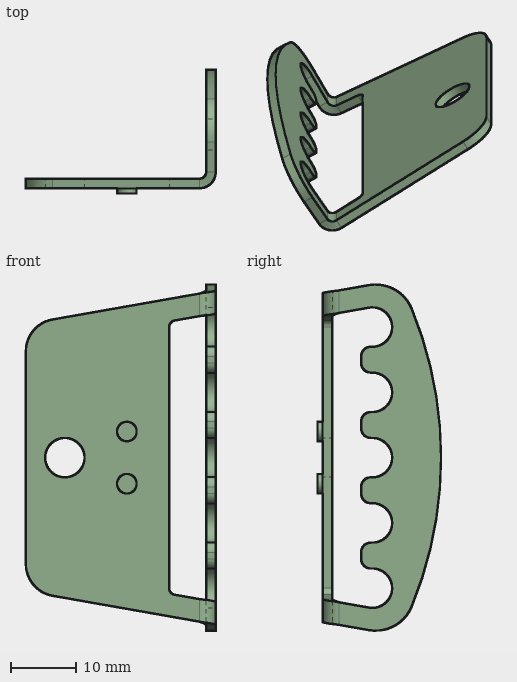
import cadquery as cq
import math

LENGTH_X = 29.13
HEIGHT_Z = 53.06
OVERALL_Y = 18.98
THICKNESS = 1.5
TAPER = math.radians(10)

INNER_BEND_RADIUS = 1.0
OUTER_BEND_RADIUS = INNER_BEND_RADIUS + THICKNESS
NEUTRAL_BEND_RADIUS = INNER_BEND_RADIUS + THICKNESS / 2
BEND_X = LENGTH_X - OUTER_BEND_RADIUS
BEND_Y = OUTER_BEND_RADIUS
BEND_RISE = NEUTRAL_BEND_RADIUS * math.pi / 2 * math.tan(TAPER)

PLATE_CORNER_RADIUS = 5.0
WINDOW_X = 22.0
WINDOW_CORNER_RADIUS = 1.0
HOLE_DIAMETER = 6.0
HOLE_X = 6.0
PIN_DIAMETER = 3.0
PIN_HEIGHT = 0.8
PIN_X = 15.5
PIN_PITCH = 8.0

CROWN_Y = OVERALL_Y - PIN_HEIGHT
CROWN_RADIUS = 60.0
FLANGE_CORNER_RADIUS = 6.0
NOTCH_RADIUS = 3.0
NOTCH_Y = 7.65
NOTCH_PITCH = 10.0
NOTCH_COUNT = 5
TOOTH_TIP_Y = 5.9
TOOTH_TIP_RADIUS = 1.5

CROWN_CENTER_Y = CROWN_Y - CROWN_RADIUS
CORNER_Z = HEIGHT_Z / 2 - FLANGE_CORNER_RADIUS
CORNER_Y = CROWN_CENTER_Y + math.sqrt((CROWN_RADIUS - FLANGE_CORNER_RADIUS) ** 2 - CORNER_Z**2)
LAST_NOTCH_Z = NOTCH_PITCH * (NOTCH_COUNT - 1) / 2


def taper_height_at_bend(center_y, center_z, radius):
    """Height, where the flange meets the bend, of the tapered line touching an arc."""
    return center_z + radius / math.cos(TAPER) - (center_y - BEND_Y) * math.tan(TAPER)


FLANGE_OUTER_Z = taper_height_at_bend(CORNER_Y, CORNER_Z, FLANGE_CORNER_RADIUS)
FLANGE_INNER_Z = taper_height_at_bend(NOTCH_Y, LAST_NOTCH_Z, NOTCH_RADIUS)
PLATE_OUTER_Z = FLANGE_OUTER_Z - BEND_RISE
PLATE_INNER_Z = FLANGE_INNER_Z - BEND_RISE


def point_on_arc(center_y, center_z, radius, angle):
    return (center_y + radius * math.cos(angle), center_z + radius * math.sin(angle))


def mirrored(point):
    return (point[0], -point[1])


def symmetric_trapezoid(start_x, half_height_at_bend):
    """Plate-thick trapezoid from start_x to the bend, tapering away from it."""
    start_z = half_height_at_bend - (BEND_X - start_x) * math.tan(TAPER)
    corners = [
        (start_x, -start_z),
        (BEND_X, -half_height_at_bend),
        (BEND_X, half_height_at_bend),
        (start_x, start_z),
    ]
    return cq.Workplane("XZ").polyline(corners).close().extrude(-THICKNESS)


def make_plate():
    plate = symmetric_trapezoid(0, PLATE_OUTER_Z).edges("|Y and <X").fillet(PLATE_CORNER_RADIUS)
    window = symmetric_trapezoid(WINDOW_X, PLATE_INNER_Z).edges("|Y and <X").fillet(WINDOW_CORNER_RADIUS)
    hole = cq.Workplane("XZ").center(HOLE_X, 0).circle(HOLE_DIAMETER / 2).extrude(-THICKNESS)
    return plate.cut(window).cut(hole)


def make_pins():
    return (
        cq.Workplane("XZ", origin=(0, THICKNESS / 2, 0))
        .pushPoints([(PIN_X, -PIN_PITCH / 2), (PIN_X, PIN_PITCH / 2)])
        .circle(PIN_DIAMETER / 2)
        .extrude(PIN_HEIGHT + THICKNESS / 2)
    )


def flange_plane():
    return cq.Workplane("YZ", origin=(LENGTH_X - THICKNESS, 0, 0))


def make_flange_blank():
    crown_angle = math.atan2(CORNER_Z, CORNER_Y - CROWN_CENTER_Y)
    taper_angle = math.pi / 2 + TAPER
    corner = (CORNER_Y, CORNER_Z, FLANGE_CORNER_RADIUS)
    taper_end = point_on_arc(*corner, taper_angle)
    corner_middle = point_on_arc(*corner, (taper_angle + crown_angle) / 2)
    crown_end = point_on_arc(*corner, crown_angle)
    return (
        flange_plane()
        .moveTo(BEND_Y, FLANGE_OUTER_Z)
        .lineTo(*taper_end)
        .threePointArc(corner_middle, crown_end)
        .threePointArc((CROWN_Y, 0), mirrored(crown_end))
        .threePointArc(mirrored(corner_middle), mirrored(taper_end))
        .lineTo(BEND_Y, -FLANGE_OUTER_Z)
        .close()
        .extrude(THICKNESS)
    )


def make_flange_opening():
    """Space between the arms, including the round notches between the teeth."""
    touch = point_on_arc(NOTCH_Y, LAST_NOTCH_Z, NOTCH_RADIUS, math.pi / 2 + TAPER)
    outline = flange_plane().moveTo(BEND_Y, FLANGE_INNER_Z).lineTo(*touch)
    for index in range(NOTCH_COUNT):
        notch_z = LAST_NOTCH_Z - index * NOTCH_PITCH
        is_last = index == NOTCH_COUNT - 1
        notch_end = mirrored(touch) if is_last else (NOTCH_Y, notch_z - NOTCH_RADIUS)
        outline = outline.threePointArc((NOTCH_Y + NOTCH_RADIUS, notch_z), notch_end)
        if not is_last:
            next_top_z = notch_z - NOTCH_PITCH + NOTCH_RADIUS
            outline = (
                outline.lineTo(TOOTH_TIP_Y + TOOTH_TIP_RADIUS, notch_z - NOTCH_RADIUS)
                .radiusArc((TOOTH_TIP_Y, notch_z - NOTCH_RADIUS - TOOTH_TIP_RADIUS), -TOOTH_TIP_RADIUS)
                .lineTo(TOOTH_TIP_Y, next_top_z + TOOTH_TIP_RADIUS)
                .radiusArc((TOOTH_TIP_Y + TOOTH_TIP_RADIUS, next_top_z), -TOOTH_TIP_RADIUS)
                .lineTo(NOTCH_Y, next_top_z)
            )
    return outline.lineTo(BEND_Y, -FLANGE_INNER_Z).close().extrude(THICKNESS)


def make_upper_bend():
    """Quarter-turn arm whose edges climb steadily from the plate to the flange."""
    quarter_helix = cq.Wire.makeHelix(4 * BEND_RISE, BEND_RISE, NEUTRAL_BEND_RADIUS)
    arm_height = PLATE_OUTER_Z - PLATE_INNER_Z
    bend = (
        cq.Workplane("XZ")
        .center(NEUTRAL_BEND_RADIUS, 0)
        .rect(THICKNESS, arm_height)
        .sweep(cq.Workplane(quarter_helix), isFrenet=True)
    )
    return bend.rotate((0, 0, 0), (0, 0, 1), -90).translate(
        (BEND_X, BEND_Y, (PLATE_OUTER_Z + PLATE_INNER_Z) / 2)
    )


flange = make_flange_blank().cut(make_flange_opening())
upper_bend = make_upper_bend()
lower_bend = upper_bend.mirror("XY")
result = make_plate().union(make_pins()).union(flange).union(upper_bend).union(lower_bend)